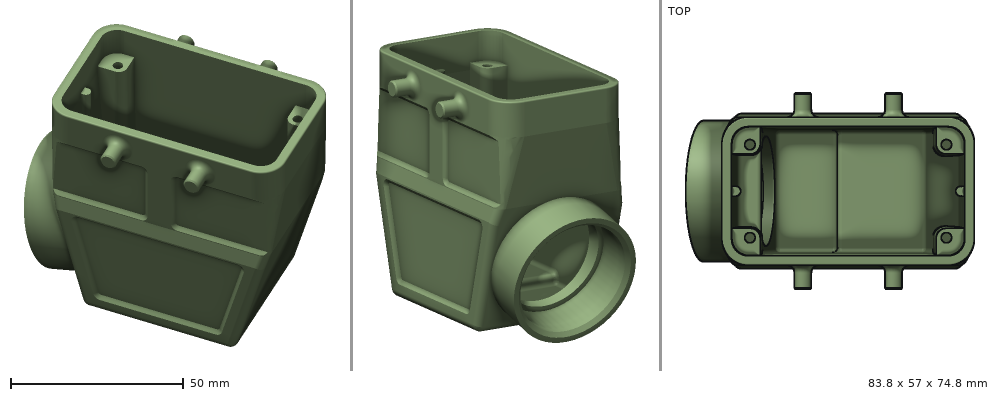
import cadquery as cq
import math

height = 71.95

mouth_length = 73.3
mouth_width = 43.0
mouth_radius = 7.55
band_bottom = 61.2
neck_bottom = 39.6
neck_length = 69.1
neck_radius = 2.5
rim_round = 0.5

belly_width = 45.1
shoulder_bottom = 35.2
end_slope = math.radians(15)
bottom_length = neck_length - 2 * neck_bottom * math.tan(end_slope)
belly_edge_round = 2.4
belly_bottom_round = 2.35

panel_depth = 1.0
panel_wall_draft = 50
panel_corner_radius = 2.1
neck_panel_bottom = 39.8
neck_panel_top = 61.0
rib_half_width = 3.7
belly_panel_bottom = 4.6
belly_panel_top = 34.7
belly_panel_half_length = 28.0

pin_x = 13.2
pin_z = 65.65
pin_radius = 2.5
pin_span = 57.0
pin_tip_chamfer = 0.4
pin_root_radius = 2.1
pin_embed = 1.25

entry_x = -41.88
entry_z = 17.0
entry_radius = 20.55
entry_length = 15.1
entry_bore_radius = 17.6
entry_bore_depth = 13.6
entry_mouth_chamfer = 1.25
passage_radius = 15.9
passage_length = 25.15

cavity_length = 67.75
cavity_width = 37.6
cavity_radius = 5.0
cavity_draft = 0.9
post_top = 62.9
post_inner_x = 25.6
post_inner_y = 10.8
post_round = 2.7
post_draft = 1.2
floor_right = 7.05
floor_left = 3.85
floor_step_x = -3.1
floor_round = 1.3
end_wall_bottom = 39.8
end_wall_x = 32.0
right_floor_x = 22.4
entry_shelf_z = 41.9
entry_wall_top_x = -25.15
entry_wall_bend_z = 30.2
entry_wall_floor_x = -21.0

screw_x = 28.5
screw_y = 13.5
screw_radius = 1.5
screw_depth = 16.8
guide_x = 32.6
guide_radius = 1.4
guide_top = 62.5
guide_foot = 50.3
guide_root_depth = 0.3


def rounded_plan(length, width, radius):
    """Rounded rectangle in plan, centred on the origin."""
    return cq.Sketch().rect(length, width).vertices().fillet(radius)


def prism_along_y(points, width):
    """Outline in X and Z, extruded symmetrically across Y = 0."""
    return cq.Workplane("XZ").polyline(points).close().extrude(width / 2, both=True)


def make_neck():
    plan_top = rounded_plan(mouth_length, mouth_width, mouth_radius)
    plan_bottom = rounded_plan(neck_length, mouth_width, neck_radius)
    band = cq.Workplane("XY").workplane(offset=band_bottom).placeSketch(plan_top)
    band = band.extrude(height - band_bottom).faces(">Z").edges().fillet(rim_round)
    taper = (
        cq.Workplane("XY")
        .placeSketch(
            plan_bottom.moved(cq.Location(cq.Vector(0, 0, neck_bottom))),
            plan_top.moved(cq.Location(cq.Vector(0, 0, band_bottom))),
        )
        .loft()
    )
    return band.union(taper)


def make_belly():
    half_top = neck_length / 2
    half_bottom = bottom_length / 2
    trapezoid = prism_along_y(
        [(-half_bottom, 0), (half_bottom, 0), (half_top, neck_bottom), (-half_top, neck_bottom)],
        belly_width,
    )
    half_width = belly_width / 2
    half_neck = mouth_width / 2
    cross_section = (
        cq.Workplane("YZ")
        .polyline(
            [
                (-half_width, 0),
                (half_width, 0),
                (half_width, shoulder_bottom),
                (half_neck, neck_bottom),
                (-half_neck, neck_bottom),
                (-half_width, shoulder_bottom),
            ]
        )
        .close()
        .extrude(neck_length, both=True)
    )
    belly = trapezoid.intersect(cross_section)
    belly = belly.edges("not(|X or |Y)").fillet(belly_edge_round)
    return belly.faces("<Z").edges().fillet(belly_bottom_round)


def panel_cutter(points, face_y, rounded_corners):
    """Drafted recess cutter, sunk into the face at Y = -face_y."""
    sketch = cq.Sketch().polygon(points + points[:1])
    sketch = sketch.vertices(rounded_corners).fillet(panel_corner_radius)
    return (
        cq.Workplane("XZ", origin=(0, -face_y, 0))
        .placeSketch(sketch)
        .extrude(-panel_depth, taper=panel_wall_draft)
    )


def cut_panels(body):
    outer_end = mouth_length
    neck_panel = panel_cutter(
        [
            (rib_half_width, neck_panel_bottom),
            (outer_end, neck_panel_bottom),
            (outer_end, neck_panel_top),
            (rib_half_width, neck_panel_top),
        ],
        mouth_width / 2,
        "<X",
    )
    run = (belly_panel_top - belly_panel_bottom) * math.tan(end_slope)
    half_top = belly_panel_half_length
    belly_panel = panel_cutter(
        [
            (half_top - run, belly_panel_bottom),
            (half_top, belly_panel_top),
            (-half_top, belly_panel_top),
            (run - half_top, belly_panel_bottom),
        ],
        belly_width / 2,
        None,
    )
    side_cuts = neck_panel.union(neck_panel.mirror("YZ")).union(belly_panel)
    return body.cut(side_cuts).cut(side_cuts.mirror("XZ"))


def make_pin():
    """Pin on the -Y side, turned about its own axis, with a coved root."""
    root_y = mouth_width / 2
    cove_end = root_y + pin_root_radius
    cove_offset = pin_root_radius * (1 - math.sqrt(0.5))
    tip = pin_span / 2
    return (
        cq.Workplane("XY")
        .moveTo(0, pin_embed - root_y)
        .lineTo(pin_radius + pin_root_radius, pin_embed - root_y)
        .lineTo(pin_radius + pin_root_radius, -root_y)
        .threePointArc((pin_radius + cove_offset, -root_y - cove_offset), (pin_radius, -cove_end))
        .lineTo(pin_radius, pin_tip_chamfer - tip)
        .lineTo(pin_radius - pin_tip_chamfer, -tip)
        .lineTo(0, -tip)
        .close()
        .revolve(360, (0, 0, 0), (0, 1, 0))
        .translate((0, 0, pin_z))
    )


def add_pins(body):
    for x in (-pin_x, pin_x):
        pin = make_pin().translate((x, 0, 0))
        body = body.union(pin).union(pin.mirror("XZ"))
    return body


def entry_plane():
    """Plane on the outer end of the cable entry, facing into the housing."""
    inward = (math.cos(end_slope), 0, math.sin(end_slope))
    return cq.Plane(origin=(entry_x, 0, entry_z), xDir=(0, 1, 0), normal=inward)


def make_entry_bore():
    bore = cq.Workplane(entry_plane()).circle(entry_bore_radius).extrude(entry_bore_depth)
    passage = cq.Workplane(entry_plane()).circle(passage_radius).extrude(passage_length)
    flare = cq.Solid.makeCone(
        entry_bore_radius + entry_mouth_chamfer,
        entry_bore_radius,
        entry_mouth_chamfer,
        entry_plane().origin,
        entry_plane().zDir,
    )
    return bore.union(passage).union(cq.Workplane(flare))


def make_cavity():
    cavity = (
        cq.Workplane("XY", origin=(0, 0, height))
        .placeSketch(rounded_plan(cavity_length, cavity_width, cavity_radius))
        .extrude(-height, taper=cavity_draft)
    )
    cross = (
        cq.Sketch()
        .rect(2 * post_inner_x, mouth_length)
        .rect(2 * mouth_length, 2 * post_inner_y)
        .clean()
        .vertices("not(<X or >X or <Y or >Y)")
        .fillet(post_round)
    )
    passage = cq.Workplane("XY", origin=(0, 0, post_top)).placeSketch(cross)
    passage = passage.extrude(-post_top, taper=post_draft)
    mouth = cq.Workplane("XY", origin=(0, 0, post_top)).rect(2 * mouth_length, 2 * mouth_length)
    cavity = cavity.intersect(passage.union(mouth.extrude(height)))
    half = cavity_length / 2
    side_profile = prism_along_y(
        [
            (-half, height),
            (-half, post_top),
            (-end_wall_x, entry_shelf_z),
            (entry_wall_top_x, entry_shelf_z),
            (entry_wall_top_x, entry_wall_bend_z),
            (entry_wall_floor_x, floor_left),
            (floor_step_x, floor_left),
            (floor_step_x, floor_right),
            (right_floor_x, floor_right),
            (end_wall_x, end_wall_bottom),
            (half, post_top),
            (half, height),
        ],
        belly_width,
    )
    rounded = cq.selectors.BoxSelector((-half, -belly_width, 0), (half, belly_width, entry_shelf_z + 0.8))
    side_profile = side_profile.edges("|Y").edges(rounded).fillet(floor_round)
    cavity = cavity.intersect(side_profile)
    floor_zone = cq.selectors.BoxSelector((-half, -mouth_width, 0), (half, mouth_width, floor_right + 0.8))
    return cavity.edges("|X").edges(floor_zone).fillet(floor_round)


def make_screw_holes():
    return (
        cq.Workplane("XY", origin=(0, 0, post_top))
        .rect(2 * screw_x, 2 * screw_y, forConstruction=True)
        .vertices()
        .circle(screw_radius)
        .extrude(-screw_depth)
    )


def make_guide_rib(side):
    """Half-round rib down one cavity end, standing off the end wall; side is -1 or 1."""
    foot = entry_shelf_z if side < 0 else guide_foot
    root_length = cavity_length / 2 + guide_root_depth - guide_x
    ridge = cq.Workplane("XY", origin=(side * guide_x, 0, foot))
    ridge = ridge.circle(guide_radius).extrude(guide_top - foot)
    root = cq.Workplane("XY", origin=(side * (guide_x + root_length / 2), 0, foot))
    return ridge.union(root.rect(root_length, 2 * guide_radius).extrude(guide_top - foot))


body = make_neck().union(make_belly())
body = cut_panels(body)
body = add_pins(body)
body = body.union(cq.Workplane(entry_plane()).circle(entry_radius).extrude(entry_length))
body = body.cut(make_cavity()).cut(make_entry_bore()).cut(make_screw_holes())
for side in (-1, 1):
    body = body.union(make_guide_rib(side))
result = body